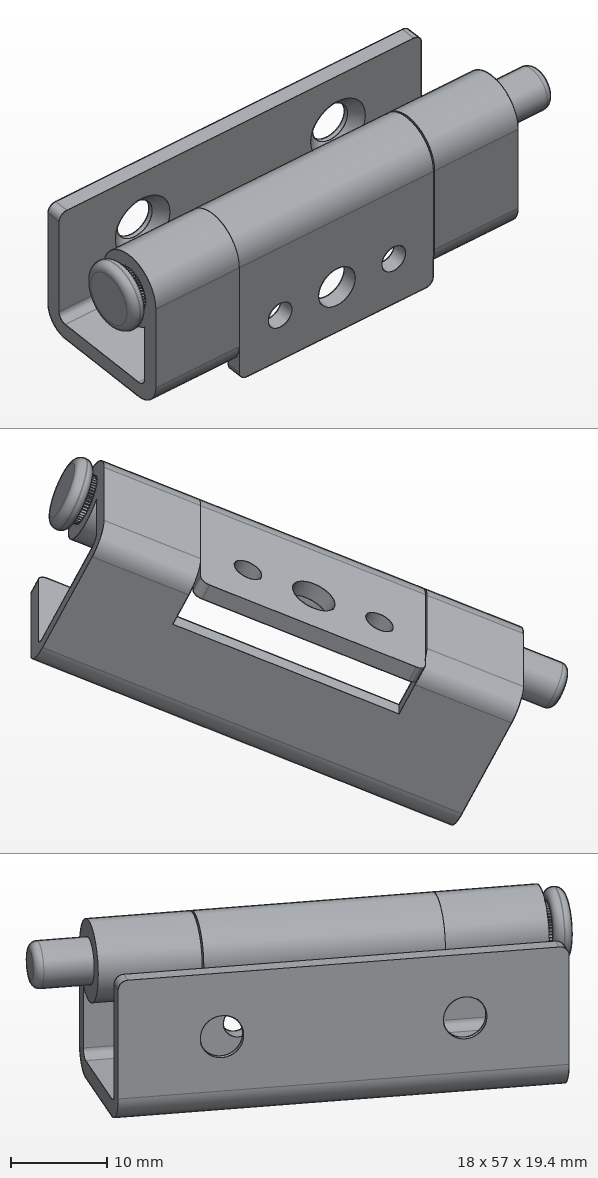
import cadquery as cq
import math


WIDTH = 18.0
HEIGHT = 19.4
LENGTH = 57.0
SHEET = 1.9
BEND_INNER_RADIUS = 1.0
BEND_OUTER_RADIUS = BEND_INNER_RADIUS + SHEET
CORNER_RADIUS = 1.0

CHANNEL_LENGTH = 48.0
CHANNEL_BOTTOM = 1.6
LEFT_WALL_TOP = 17.5
FRONT_END = -CHANNEL_LENGTH / 2
BACK_END = CHANNEL_LENGTH / 2
SCREW_HOLE_DIAMETER = 4.6
SCREW_HOLE_SPACING = 25.9
SCREW_HOLE_HEIGHT = 10.5
COUNTERSINK_DEPTH = 1.3
COUNTERSINK_DIAMETER = SCREW_HOLE_DIAMETER + 2 * COUNTERSINK_DEPTH

KNUCKLE_RADIUS = 4.4
PIN_X = WIDTH - KNUCKLE_RADIUS
PIN_Z = HEIGHT - KNUCKLE_RADIUS

PIN_RADIUS = 2.5
PIN_TIP_RADIUS = 0.9
KNURL_CREST_RADIUS = 2.75
KNURL_TEETH = 48
COLLAR_LENGTH = 0.75
HEAD_RADIUS = 4.0
HEAD_THICKNESS = 2.0
HEAD_EDGE_RADIUS = 0.95
PIN_FRONT_END = FRONT_END - COLLAR_LENGTH - HEAD_THICKNESS

NOTCH_LENGTH = 25.9
NOTCH_DEPTH = 6.85
LEAF_GAP = 0.15
LEAF_FRONT = -NOTCH_LENGTH / 2
LEAF_BACK = NOTCH_LENGTH / 2 - LEAF_GAP
LEAF_LENGTH = LEAF_BACK - LEAF_FRONT
LEAF_INNER_X = WIDTH - SHEET
LEAF_HOLE_HEIGHT = 6.0
LEAF_HOLE_SPACING = 7.5
LEAF_SMALL_HOLE_DIAMETER = 3.15
LEAF_LARGE_HOLE_DIAMETER = 4.85


def cylinder_along_y(radius, start, length):
    """Cylinder on the pin axis, running from start towards +Y."""
    axis_plane = cq.Plane(origin=(PIN_X, start, PIN_Z), xDir=(1, 0, 0), normal=(0, 1, 0))
    return cq.Workplane(axis_plane).circle(radius).extrude(length)


def box_between(x_range, y_range, z_range):
    """Box that fills the three given ranges."""
    lower, upper = zip(x_range, y_range, z_range)
    size = [high - low for low, high in zip(lower, upper)]
    return cq.Workplane("XY").box(*size, centered=False).translate(lower)


def holes_along_x(diameter, y_positions, height, start_x):
    """Drills through one sheet thickness, starting at start_x and running towards +X."""
    centres = [(y, height) for y in y_positions]
    return cq.Workplane("YZ", origin=(start_x, 0, 0)).pushPoints(centres).circle(diameter / 2).extrude(SHEET)


def make_countersink(hole_y):
    """Cone that widens a screw hole towards the inside of the left wall."""
    cone = cq.Solid.makeCone(
        SCREW_HOLE_DIAMETER / 2,
        COUNTERSINK_DIAMETER / 2,
        COUNTERSINK_DEPTH,
        pnt=cq.Vector(SHEET - COUNTERSINK_DEPTH, hole_y, SCREW_HOLE_HEIGHT),
        dir=cq.Vector(1, 0, 0),
    )
    return cq.Workplane(cone)


def make_channel():
    """U-shaped channel with a knuckle at each end of its right wall and a notch for the leaf between them."""
    ends = (FRONT_END, BACK_END)
    outer = box_between((0, WIDTH), ends, (CHANNEL_BOTTOM, PIN_Z))
    outer = outer.union(box_between((0, SHEET), ends, (CHANNEL_BOTTOM, LEFT_WALL_TOP)))
    outer = outer.edges("|Y and <Z").fillet(BEND_OUTER_RADIUS)
    inner = box_between((SHEET, WIDTH - SHEET), ends, (CHANNEL_BOTTOM + SHEET, HEIGHT))
    inner = inner.edges("|Y and <Z").fillet(BEND_INNER_RADIUS)
    channel = outer.cut(inner)
    channel = channel.edges("|X and >Z").fillet(CORNER_RADIUS)

    hole_ys = (-SCREW_HOLE_SPACING / 2, SCREW_HOLE_SPACING / 2)
    channel = channel.cut(holes_along_x(SCREW_HOLE_DIAMETER, hole_ys, SCREW_HOLE_HEIGHT, 0))
    for hole_y in hole_ys:
        channel = channel.cut(make_countersink(hole_y))

    channel = channel.union(cylinder_along_y(KNUCKLE_RADIUS, FRONT_END, CHANNEL_LENGTH))

    notch_ends = (-NOTCH_LENGTH / 2, NOTCH_LENGTH / 2)
    channel = channel.cut(box_between((WIDTH - NOTCH_DEPTH, WIDTH), notch_ends, (0, HEIGHT)))
    channel = channel.cut(cylinder_along_y(KNUCKLE_RADIUS, -NOTCH_LENGTH / 2, NOTCH_LENGTH))
    return channel.cut(cylinder_along_y(PIN_RADIUS, FRONT_END, CHANNEL_LENGTH))


def make_leaf():
    """Flat leaf with the middle knuckle along its upper edge and three holes."""
    leaf = box_between((LEAF_INNER_X, WIDTH), (LEAF_FRONT, LEAF_BACK), (0, PIN_Z))
    leaf = leaf.edges("|X and <Z").fillet(CORNER_RADIUS)
    small_hole_ys = (-LEAF_HOLE_SPACING, LEAF_HOLE_SPACING)
    leaf = leaf.cut(holes_along_x(LEAF_SMALL_HOLE_DIAMETER, small_hole_ys, LEAF_HOLE_HEIGHT, LEAF_INNER_X))
    leaf = leaf.cut(holes_along_x(LEAF_LARGE_HOLE_DIAMETER, (0,), LEAF_HOLE_HEIGHT, LEAF_INNER_X))
    leaf = leaf.union(cylinder_along_y(KNUCKLE_RADIUS, LEAF_FRONT, LEAF_LENGTH))
    return leaf.cut(cylinder_along_y(PIN_RADIUS, LEAF_FRONT, LEAF_LENGTH))


def make_knurled_collar():
    """Short collar behind the head, with V-shaped teeth whose roots lie on the shaft."""
    points = []
    for corner in range(2 * KNURL_TEETH):
        radius = KNURL_CREST_RADIUS if corner % 2 == 0 else PIN_RADIUS
        angle = math.pi * corner / KNURL_TEETH
        points.append((radius * math.cos(angle), radius * math.sin(angle)))
    collar_plane = cq.Plane(origin=(PIN_X, FRONT_END, PIN_Z), xDir=(1, 0, 0), normal=(0, -1, 0))
    return cq.Workplane(collar_plane).polyline(points).close().extrude(COLLAR_LENGTH)


def make_pin():
    """Pin with a rounded tip at the back, and a knurled collar and a rounded head at the front."""
    shaft = cylinder_along_y(PIN_RADIUS, PIN_FRONT_END, LENGTH)
    shaft = shaft.faces(">Y").edges().fillet(PIN_TIP_RADIUS)
    collar = make_knurled_collar()
    head = cylinder_along_y(HEAD_RADIUS, PIN_FRONT_END, HEAD_THICKNESS)
    head = head.edges().fillet(HEAD_EDGE_RADIUS)
    return shaft.union(collar).union(head)


channel = make_channel()
leaf = make_leaf()
pin = make_pin()

result = cq.Compound.makeCompound([channel.val(), leaf.val(), pin.val()])